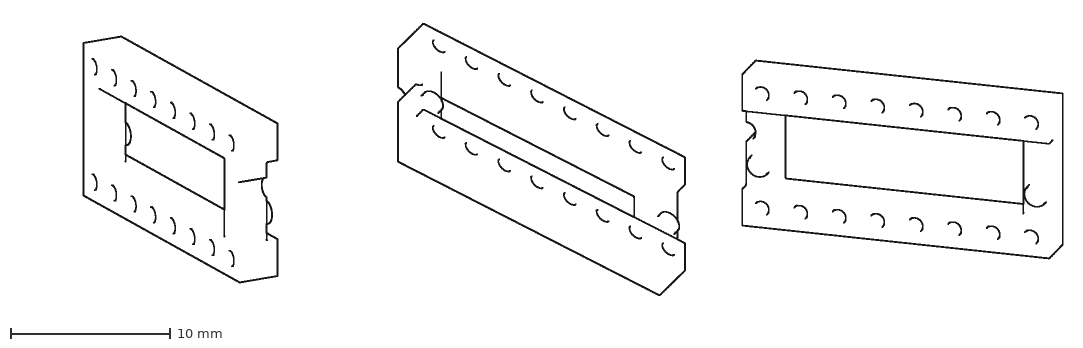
import cadquery as cq

length = 20.3
depth = 2.78
height = 10.1
edge_radius = 0.08

rail_gap = 5.15
window_length = 16.28
channel_depth = 0.8

pin_pitch = 2.54
pins_per_row = 8
row_spacing = 7.61
pin_hole_diameter = 1.0

notch_radius = 0.63
notch_z = 0.93

peg_diameter = 1.52
peg_length = 0.53
peg_z = -1.04
peg_x = (length + window_length) / 4

front_y = -depth / 2
back_y = depth / 2
channel_floor_y = back_y - channel_depth


def cylinder_along_y(diameter, x, z, start_y, span):
    """Cylinder that runs in +Y from start_y."""
    base = cq.Vector(x, start_y, z)
    return cq.Workplane(cq.Solid.makeCylinder(diameter / 2, span, base, cq.Vector(0, 1, 0)))


def make_frame():
    """Rectangular frame with a central window and a channel along the back."""
    block = cq.Workplane("XY").box(length, depth, height)
    window = cq.Workplane("XY").box(window_length, depth, rail_gap)
    channel = cq.Workplane("XY").box(length, 2 * channel_depth, rail_gap).translate((0, back_y, 0))
    return block.cut(window).cut(channel)


def cut_index_notch(body):
    """Half-round notch through the +X end bar."""
    return body.cut(cylinder_along_y(2 * notch_radius, length / 2, notch_z, front_y, depth))


def drill_pin_holes(body):
    """Two rows of through holes along the rails."""
    for column in range(pins_per_row):
        x = (column - (pins_per_row - 1) / 2) * pin_pitch
        for z in (-row_spacing / 2, row_spacing / 2):
            body = body.cut(cylinder_along_y(pin_hole_diameter, x, z, front_y, depth))
    return body


def add_pegs(body):
    """One round standoff on the channel floor of each end bar."""
    for x in (-peg_x, peg_x):
        body = body.union(cylinder_along_y(peg_diameter, x, peg_z, channel_floor_y, peg_length))
    return body


body = make_frame()
body = cut_index_notch(body)
body = drill_pin_holes(body)
body = add_pegs(body)

result = body.edges().fillet(edge_radius)